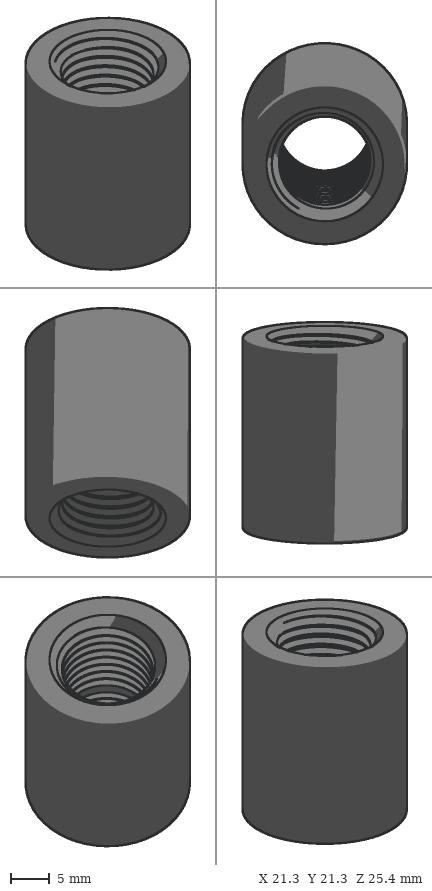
import cadquery as cq
import math

length = 25.4
outer_radius = 10.67
edge_fillet = 0.35
half_length = length / 2

middle_bore_radius = 5.6
taper = 1 / 32
mouth_radius = 7.55
countersink_depth = 2.03

pitch = 1.42
thread_depth = 0.91
flank_angle = math.radians(30)
crest_width = 0.1
cutter_overlap = 0.08
thread_start = 0.64
thread_turns = 9

end_bore_radius = middle_bore_radius + taper * half_length
thread_start_radius = middle_bore_radius + taper * thread_start


def make_body():
    """Upper half of the outer cylinder, rounded at its end."""
    cylinder = cq.Workplane("XY").circle(outer_radius).extrude(half_length)
    return cylinder.faces(">Z").edges().fillet(edge_fillet)


def make_bore():
    """Tapered bore of the upper half."""
    return cq.Workplane(cq.Solid.makeCone(middle_bore_radius, end_bore_radius, half_length))


def make_countersink():
    """Cone that opens the bore at the end face."""
    tip_radius = mouth_radius - countersink_depth
    cone = cq.Solid.makeCone(tip_radius, mouth_radius, countersink_depth)
    return cq.Workplane(cone).translate((0, 0, half_length - countersink_depth))


def make_thread_cutter():
    """Groove swept along a conical helix, starting on the -X side."""
    height = pitch * thread_turns
    helix = cq.Wire.makeHelix(
        pitch, height, thread_start_radius, angle=math.degrees(math.atan(taper))
    )
    inner_half_width = (pitch - crest_width) / 2
    root_half_width = inner_half_width - (thread_depth + cutter_overlap) * math.tan(flank_angle)
    inner_radius = thread_start_radius - cutter_overlap
    root_radius = thread_start_radius + thread_depth
    groove = cq.Workplane("XZ").polyline([
        (inner_radius, -inner_half_width),
        (root_radius, -root_half_width),
        (root_radius, root_half_width),
        (inner_radius, inner_half_width),
    ]).close()
    cutter = groove.sweep(cq.Workplane(helix), isFrenet=True)
    return cutter.rotate((0, 0, 0), (0, 0, 1), 180).translate((0, 0, thread_start))


upper_half = make_body().cut(make_bore()).cut(make_thread_cutter()).cut(make_countersink())
lower_half = upper_half.rotate((0, 0, 0), (1, 0, 0), 180)
result = upper_half.union(lower_half)